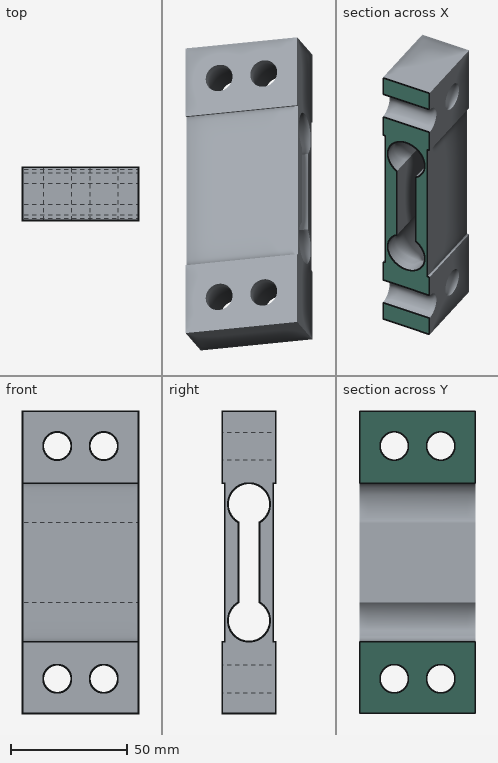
import cadquery as cq

width = 50.0
thickness = 23.0
height = 130.0

bore_diameter = 18.0
bore_spacing = 50.0
slot_width = 9.0

relief_depth = 1.0
relief_height = bore_spacing + bore_diameter

mount_hole_diameter = 12.0
mount_hole_spacing_x = 20.0
mount_hole_spacing_z = 100.0


def make_block():
    return cq.Workplane("XY").box(width, thickness, height)


def make_face_relief(side):
    """Shallow full-width cut on the broad face at +Y (side=1) or -Y (side=-1)."""
    center_y = side * (thickness - relief_depth) / 2
    relief = cq.Workplane("XY").box(width, relief_depth, relief_height)
    return relief.translate((0, center_y, 0))


def make_window():
    """Two round bores joined by a straight slot, all along X."""
    bores = (
        cq.Workplane("YZ")
        .pushPoints([(0, -bore_spacing / 2), (0, bore_spacing / 2)])
        .circle(bore_diameter / 2)
        .extrude(width / 2, both=True)
    )
    slot = cq.Workplane("XY").box(width, slot_width, bore_spacing)
    return bores.union(slot)


def make_mounting_holes():
    """Four plain holes along Y, two at each end of the bar."""
    return (
        cq.Workplane("XZ")
        .rarray(mount_hole_spacing_x, mount_hole_spacing_z, 2, 2)
        .circle(mount_hole_diameter / 2)
        .extrude(thickness / 2, both=True)
    )


result = make_block()
for side in (-1, 1):
    result = result.cut(make_face_relief(side))
result = result.cut(make_window()).cut(make_mounting_holes())